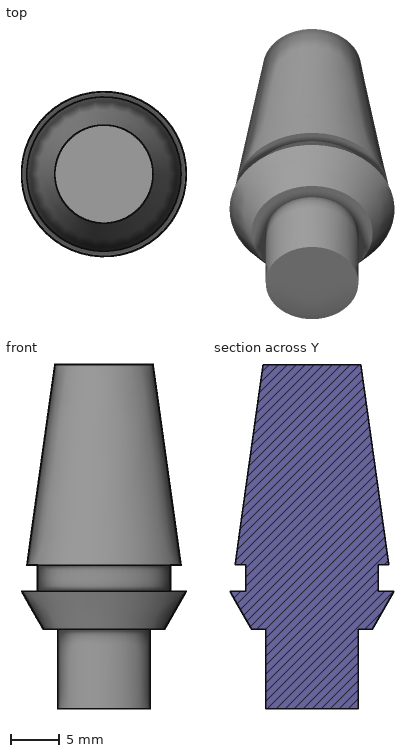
import cadquery as cq

total_height = 35.7

stem_diameter = 9.6
collar_bottom_diameter = 12.55
collar_top_diameter = 17.1
neck_diameter = 13.8
cone_base_diameter = 16.0
cone_tip_diameter = 10.17

stem_length = 8.25
collar_length = 3.95
neck_length = 2.68
cone_length = total_height - stem_length - collar_length - neck_length

sections = [
    (stem_diameter, stem_diameter, stem_length),
    (collar_bottom_diameter, collar_top_diameter, collar_length),
    (neck_diameter, neck_diameter, neck_length),
    (cone_base_diameter, cone_tip_diameter, cone_length),
]


def half_profile(stacked_sections):
    """Radius and height points of the stacked sections, closed along the axis."""
    points = [(0, 0)]
    height = 0
    for bottom_diameter, top_diameter, length in stacked_sections:
        points.append((bottom_diameter / 2, height))
        height += length
        points.append((top_diameter / 2, height))
    points.append((0, height))
    return points


result = cq.Workplane("XZ").polyline(half_profile(sections)).close().revolve(360, (0, 0, 0), (0, 1, 0))